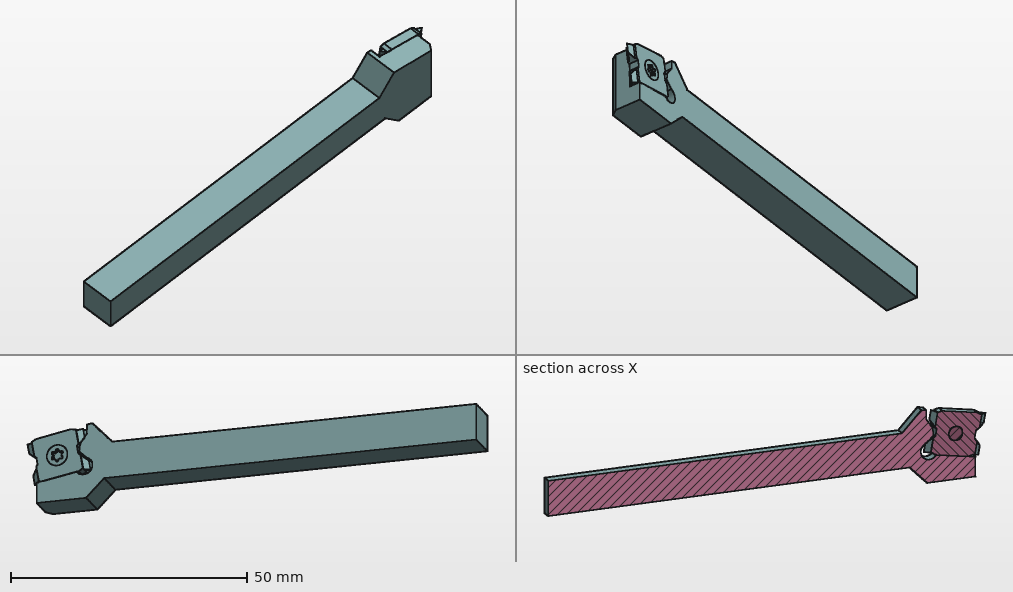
import cadquery as cq
import math

total_length = 100.0
shank_size = 8.0
head_front = 97.5
head_bottom = -4.0
head_top = 12.6
head_underside_rear = 86.5
head_top_rear = 85.1
underside_slope_length = 4.0
top_slope_length = 4.4
corner_cut_x = 1.6
corner_cut_y = 1.2

insert_thickness = 2.4
insert_half_height = 4.9
body_half_length = 5.0
tip_reach = 6.3
tip_inner_height = 2.6
tip_outer_height = 4.7
tip_half_angle = 30.0
notch_depth_position = 4.6
notch_half_height = 0.8
bevel_length = 1.0
bevel_drop = 0.4

insert_roll = 10.0
insert_tilt = 1.0
insert_center_x = 1.45
insert_center_z = 6.3

pocket_rear = 6.7
pocket_corner_height = 4.1
nose_top = (-5.2, 2.0)
nose_bottom = (-5.0, 0.2)
nose_root = (-6.6, -1.3)
relief_center = (-6.0, -3.1)
relief_radius = 1.9
cut_margin = 10.0

head_radius = 2.3
head_height = 1.4
thread_radius = 1.5
thread_length = 4.5
socket_depth = 0.8
socket_core_radius = 1.0
lobe_center_radius = 1.1
lobe_radius = 0.3
lobe_count = 6

roll = math.radians(insert_roll)
tilt = math.radians(insert_tilt)
tip_forward = (tip_reach * math.cos(roll) + tip_outer_height * math.sin(roll)) * math.cos(tilt)
insert_center = (insert_center_x, total_length - tip_forward, insert_center_z)

head_front_top = head_top - (head_front - head_top_rear) * math.tan(roll)

pocket_plane = cq.Plane(
    origin=insert_center,
    xDir=(math.sin(tilt), math.cos(tilt), 0),
    normal=(math.cos(tilt), -math.sin(tilt), 0),
)
insert_plane = pocket_plane.rotated((0, 0, -insert_roll))


def make_blank():
    """Shank and sloping head in one side outline, with the far front corner cut off."""
    side_outline = [
        (0, 0),
        (head_underside_rear - underside_slope_length, 0),
        (head_underside_rear, head_bottom),
        (head_front, head_bottom),
        (head_front, head_front_top),
        (head_top_rear, head_top),
        (head_top_rear - top_slope_length, shank_size),
        (0, shank_size),
    ]
    blank = cq.Workplane("YZ").polyline(side_outline).close().extrude(shank_size)
    corner = (
        cq.Workplane("XY", origin=(0, 0, head_bottom))
        .moveTo(shank_size, head_front)
        .lineTo(shank_size - corner_cut_x, head_front)
        .lineTo(shank_size, head_front - corner_cut_y)
        .close()
        .extrude(head_top - head_bottom)
    )
    return blank.cut(corner)


def insert_to_pocket(along, across):
    """Turn a point of the rolled insert into pocket plane coordinates."""
    forward = along * math.cos(roll) + across * math.sin(roll)
    up = across * math.cos(roll) - along * math.sin(roll)
    return (forward, up)


def make_pocket():
    """Space cut from the head: seat, rear nose with its clearance, and corner relief."""
    pocket_outline = [
        insert_to_pocket(cut_margin, -insert_half_height),
        insert_to_pocket(-body_half_length, -insert_half_height),
        relief_center,
        nose_root,
        nose_bottom,
        nose_top,
        (-pocket_rear, pocket_corner_height),
        (-pocket_rear, cut_margin),
        (cut_margin, cut_margin),
    ]
    depth = insert_thickness / 2 + cut_margin
    start = cq.Workplane(pocket_plane).workplane(offset=-cut_margin)
    seat = start.polyline(pocket_outline).close().extrude(depth)
    relief = start.center(*relief_center).circle(relief_radius).extrude(depth)
    return seat.union(relief)


def make_screw_body():
    """Screw without its socket; the head is flush with the insert face."""
    face = cq.Workplane(insert_plane).workplane(offset=-insert_thickness / 2)
    head = face.circle(head_radius).extrude(head_height)
    thread = face.circle(thread_radius).extrude(insert_thickness + thread_length)
    return head.union(thread)


def make_socket():
    """Six-lobed driver socket with one lobe pointing straight up."""
    face = cq.Workplane(pocket_plane).workplane(offset=-insert_thickness / 2)
    core = face.circle(socket_core_radius).extrude(socket_depth)
    lobes = (
        face.polarArray(lobe_center_radius, 90, 360, lobe_count)
        .circle(lobe_radius)
        .extrude(socket_depth)
    )
    return core.union(lobes)


def make_insert_blank():
    """Plate outline with notched ends, its tips narrowed to V-shaped edges."""
    quarter_outline = [
        (notch_depth_position, notch_half_height),
        (tip_reach, tip_inner_height),
        (tip_reach, tip_outer_height),
        (body_half_length, insert_half_height - bevel_drop),
        (body_half_length - bevel_length, insert_half_height),
    ]
    front_upper = quarter_outline
    rear_upper = [(-along, across) for along, across in reversed(quarter_outline)]
    rear_lower = [(-along, -across) for along, across in quarter_outline]
    front_lower = [(along, -across) for along, across in reversed(quarter_outline)]
    plate = (
        cq.Workplane(insert_plane)
        .polyline(front_upper + rear_upper + rear_lower + front_lower)
        .close()
        .extrude(insert_thickness / 2, both=True)
    )

    half_thickness = insert_thickness / 2
    tip_half_width = (tip_reach - body_half_length) * math.tan(math.radians(tip_half_angle))
    front_section = [
        (body_half_length, -half_thickness),
        (body_half_length, -tip_half_width),
        (tip_reach, 0),
        (body_half_length, tip_half_width),
        (body_half_length, half_thickness),
    ]
    rear_section = [(-along, -depth) for along, depth in front_section]
    section_plane = insert_plane.rotated((90, 0, 0))
    section = (
        cq.Workplane(section_plane)
        .polyline(front_section + rear_section)
        .close()
        .extrude(insert_half_height, both=True)
    )
    return plate.intersect(section)


screw_body = make_screw_body()
holder = make_blank().cut(make_pocket()).cut(screw_body)
insert = make_insert_blank().cut(screw_body)
screw = screw_body.cut(make_socket())

result = cq.Compound.makeCompound([holder.val(), insert.val(), screw.val()])